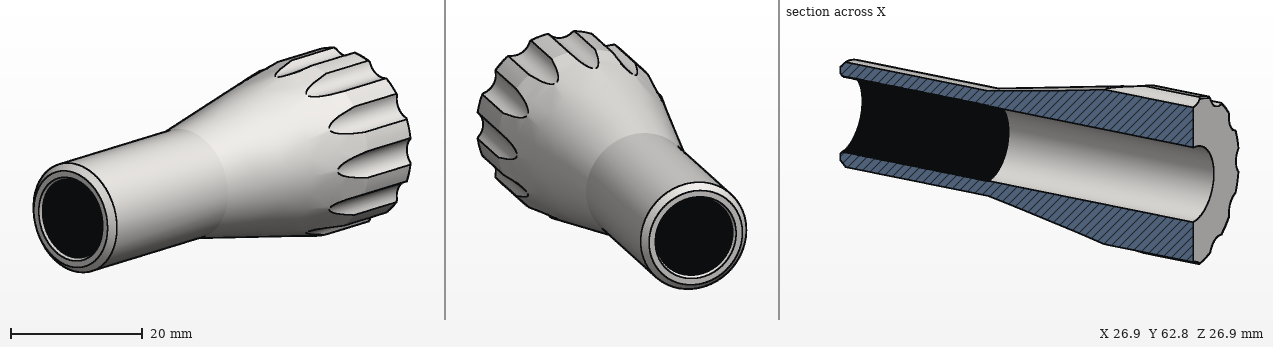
import cadquery as cq
import math

length = 62.75
tip_y = -length / 2
back_y = length / 2

head_radius = 13.6
head_length = 10.0
cone_length = 26.4
tube_length = length - head_length - cone_length
tube_radius = 17.0 / 2
tip_chamfer = 1.0
back_chamfer = 0.25

flute_count = 12
flute_floor_radius = 12.5
flute_radius = 2.75

bore_radius = 12.0 / 2
mouth_radius = 13.0 / 2
ring_radius = 12.2 / 2
ring_pitch = 0.5
ring_width = ring_pitch / 2


def revolve_about_y(profile):
    """Solid of revolution from (radius, y) points whose ends lie on the Y axis."""
    return cq.Workplane("XY").polyline(profile).close().revolve(360, (0, 0, 0), (0, 1, 0))


def make_body():
    """Tube, cone and head with bevelled outer ends."""
    return revolve_about_y([
        (0, tip_y),
        (tube_radius - tip_chamfer, tip_y),
        (tube_radius, tip_y + tip_chamfer),
        (tube_radius, tip_y + tube_length),
        (head_radius, back_y - head_length),
        (head_radius, back_y - back_chamfer),
        (head_radius - back_chamfer, back_y),
        (0, back_y),
    ])


def make_flutes():
    """Round cutters parallel to Y that run from the back face out through the cone."""
    return (
        cq.Workplane("XZ", origin=(0, back_y, 0))
        .polarArray(flute_floor_radius + flute_radius, 0, 360, flute_count)
        .circle(flute_radius)
        .extrude(head_length + cone_length)
    )


def make_bore():
    """Through bore with a 45 degree mouth and a row of shallow rings along the tube."""
    first_ring_y = tip_y + mouth_radius - ring_radius
    ring_count = math.floor(tube_length / ring_pitch)
    profile = [
        (0, tip_y),
        (mouth_radius, tip_y),
    ]
    for ring in range(ring_count):
        ring_start_y = first_ring_y + ring * ring_pitch
        ring_end_y = ring_start_y + ring_width
        profile += [
            (ring_radius, ring_start_y),
            (ring_radius, ring_end_y),
            (bore_radius, ring_end_y),
            (bore_radius, ring_start_y + ring_pitch),
        ]
    profile += [
        (bore_radius, back_y),
        (0, back_y),
    ]
    return revolve_about_y(profile)


result = make_body().cut(make_flutes()).cut(make_bore())